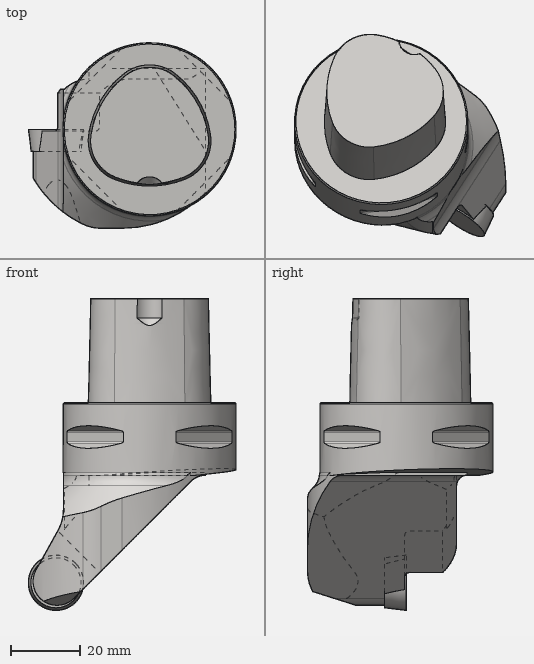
import cadquery as cq
import math


SHANK_LENGTH = 30.0
LOBE_REACH = 18.6
FLANK_REACH = 16.4
LOBE_RADIUS = 12.0
SHANK_TAPER = 0.7
LOBE_ANGLES = (90.0, 210.0, 330.0)

NOTCH_RADIUS = 4.4
NOTCH_Y = -18.1
NOTCH_DEPTH = 5.6

FLANGE_RADIUS = 25.0
FLANGE_CHAMFER = 0.4
FLANGE_RIM_Z = -20.2
FLANGE_BOTTOM_Z = -21.0
UNDERSIDE_TILT = 4.4
UNDERSIDE_DIRECTION = 32.0

GROOVE_Z = -9.95
GROOVE_FLOOR_DISTANCE = 22.2
GROOVE_FLOOR_HALF_HEIGHT = 1.65
GROOVE_FLARE = 30.0
GROOVE_FILLET = 0.7
GROOVE_ANGLES = (45.0, 135.0, 225.0, 315.0)

NECK_START_RADIUS = 25.2
NECK_FILLET_END_Z = -24.0
NECK_FILLET_RADIUS = 5.0
FLARE_ANGLE = 42.0

INSERT_X = -27.0
INSERT_Z = -52.0
INSERT_RADIUS = 8.0
INSERT_THICKNESS = 6.35
INSERT_CLEARANCE = 7.0

NOSE_X = -26.7
NOSE_Z = -51.6
NOSE_RADIUS = 6.9
ARM_BACK_X = -24.9
ARM_BACK_ANGLE = 61.0
ARM_BACK_FILLET = 12.0
FRONT_SLOPE = 45.0
FRONT_ROOT_FILLET = 6.0

ARM_FRONT_Y = -28.57
ARM_REAR_Y = 14.5
FRONT_FLAT_START_X = -14.0
FRONT_FLAT_END_X = -7.9
FRONT_LARGE_RADIUS = 33.0
FRONT_SMALL_RADIUS = 12.0
FRONT_BLEND_ANGLE = 25.5
REAR_RADIUS = 10.0
REAR_TURN = 45.0
REAR_ARC_X = -17.5
ROOT_FILLET = 3.0

REAR_ROUND_RADIUS = 20.0
REAR_ROUND_TURN = 45.0
REAR_ROUND_SUM = -46.4
POCKET_SUM = -63.5
POCKET_FLOOR_Y = -0.5
POCKET_FILLET = 1.5

RELIEF_Y = -14.6
RELIEF_Z = -58.5
RELIEF_ANGLE = 17.6

REACH = 120.0


def polar(distance, degrees):
    angle = math.radians(degrees)
    return (distance * math.cos(angle), distance * math.sin(angle))


def shank_outline(inset, z):
    """Closed three-lobed outline of tangent lobe and flank arcs."""
    lobe_offset = LOBE_REACH - LOBE_RADIUS
    gap = FLANK_REACH - LOBE_RADIUS
    flank_offset = (lobe_offset**2 - gap**2) / (2 * gap - lobe_offset)
    flank_radius = FLANK_REACH + flank_offset

    def joint(lobe_angle, side):
        lobe = polar(lobe_offset, lobe_angle)
        flank = polar(flank_offset, lobe_angle - side * 120)
        direction = math.degrees(math.atan2(lobe[1] - flank[1], lobe[0] - flank[0]))
        end = polar(flank_radius - inset, direction)
        return (flank[0] + end[0], flank[1] + end[1])

    outline = cq.Workplane("XY", origin=(0, 0, z)).moveTo(*joint(LOBE_ANGLES[0], -1))
    for angle in LOBE_ANGLES:
        outline = outline.threePointArc(polar(LOBE_REACH - inset, angle), joint(angle, 1))
        outline = outline.threePointArc(
            polar(FLANK_REACH - inset, angle + 60), joint(angle + 120, -1)
        )
    return outline.close().wires().val()


def make_shank():
    lower = shank_outline(0, 0)
    upper = shank_outline(SHANK_TAPER, SHANK_LENGTH)
    shank = cq.Workplane(cq.Solid.makeLoft([lower, upper], True))
    notch_z = SHANK_LENGTH - NOTCH_DEPTH
    notch = (
        cq.Workplane("XZ", origin=(0, NOTCH_Y, 0))
        .moveTo(0, SHANK_LENGTH)
        .lineTo(NOTCH_RADIUS, SHANK_LENGTH)
        .lineTo(NOTCH_RADIUS, notch_z)
        .lineTo(0, notch_z - NOTCH_RADIUS)
        .close()
        .revolve(360, (0, 0, 0), (0, 1, 0))
    )
    return shank.cut(notch)


def gripper_groove(angle):
    depth = FLANGE_RADIUS - GROOVE_FLOOR_DISTANCE
    mouth_half_height = GROOVE_FLOOR_HALF_HEIGHT + depth * math.tan(math.radians(GROOVE_FLARE))
    groove = (
        cq.Workplane("XZ")
        .moveTo(GROOVE_FLOOR_DISTANCE, GROOVE_Z - GROOVE_FLOOR_HALF_HEIGHT)
        .lineTo(FLANGE_RADIUS, GROOVE_Z - mouth_half_height)
        .lineTo(FLANGE_RADIUS, GROOVE_Z + mouth_half_height)
        .lineTo(GROOVE_FLOOR_DISTANCE, GROOVE_Z + GROOVE_FLOOR_HALF_HEIGHT)
        .close()
        .extrude(FLANGE_RADIUS, both=True)
        .faces("<X")
        .edges("|Y")
        .fillet(GROOVE_FILLET)
    )
    return groove.rotate((0, 0, 0), (0, 0, 1), angle)


def make_flange():
    flange = (
        cq.Workplane("XY")
        .circle(FLANGE_RADIUS)
        .extrude(FLANGE_BOTTOM_Z)
        .faces(">Z")
        .chamfer(FLANGE_CHAMFER)
    )
    for angle in GROOVE_ANGLES:
        flange = flange.cut(gripper_groove(angle))
    underside = (
        cq.Workplane("XY")
        .rect(REACH, REACH)
        .extrude(-REACH)
        .rotate((0, 0, 0), (0, 1, 0), -UNDERSIDE_TILT)
        .rotate((0, 0, 0), (0, 0, 1), UNDERSIDE_DIRECTION)
        .translate((0, 0, FLANGE_BOTTOM_Z))
    )
    back_flat = (
        cq.Workplane("XY", origin=(0, 0, FLANGE_RIM_Z))
        .center(ARM_BACK_X - REACH / 2, 0)
        .rect(REACH, REACH)
        .extrude(FLANGE_BOTTOM_Z - FLANGE_RIM_Z)
    )
    return flange.cut(underside).cut(back_flat)


def neck_flare():
    """Revolved flare that runs from the flange rim out to the arm."""
    flare = math.radians(FLARE_ANGLE)
    height = FLANGE_BOTTOM_Z - NECK_FILLET_END_Z
    start_angle = math.asin(math.sin(flare) - height / NECK_FILLET_RADIUS)
    centre_radius = NECK_START_RADIUS + NECK_FILLET_RADIUS * math.cos(start_angle)
    centre_z = FLANGE_BOTTOM_Z + NECK_FILLET_RADIUS * math.sin(start_angle)

    def on_fillet(angle):
        return (
            centre_radius - NECK_FILLET_RADIUS * math.cos(angle),
            centre_z - NECK_FILLET_RADIUS * math.sin(angle),
        )

    fillet_end = on_fillet(flare)
    flare_length = REACH / 2
    outer_radius = fillet_end[0] + flare_length * math.tan(flare)
    return (
        cq.Workplane("XZ")
        .moveTo(0, FLANGE_RIM_Z)
        .lineTo(FLANGE_RADIUS, FLANGE_RIM_Z)
        .lineTo(NECK_START_RADIUS, FLANGE_BOTTOM_Z)
        .threePointArc(on_fillet((start_angle + flare) / 2), fillet_end)
        .lineTo(outer_radius, fillet_end[1] - flare_length)
        .lineTo(0, fillet_end[1] - flare_length)
        .close()
        .revolve(360, (0, 0, 0), (0, 1, 0))
    )


def arm_plan():
    """Upright prism with the arm's plan outline."""
    turn = FRONT_BLEND_ANGLE
    small_centre_y = ARM_FRONT_Y + FRONT_SMALL_RADIUS
    large_centre_y = ARM_FRONT_Y + FRONT_LARGE_RADIUS

    def on_arc(centre, radius, angle):
        offset = polar(radius, angle)
        return (centre[0] + offset[0], centre[1] + offset[1])

    small = (FRONT_FLAT_START_X, small_centre_y)
    blend_end = on_arc(small, FRONT_SMALL_RADIUS, 270 - turn)
    large = on_arc(blend_end, FRONT_LARGE_RADIUS, 90 - turn)
    left_x = INSERT_X - INSERT_RADIUS
    left_angle = 180 + math.degrees(math.acos((large[0] - left_x) / FRONT_LARGE_RADIUS))
    left_end = on_arc(large, FRONT_LARGE_RADIUS, left_angle)
    right = (FRONT_FLAT_END_X, large_centre_y)
    rear = (REAR_ARC_X, ARM_REAR_Y - REAR_RADIUS)
    rear_end_angle = 90 + REAR_TURN
    return (
        cq.Workplane("XY")
        .moveTo(*left_end)
        .threePointArc(
            on_arc(large, FRONT_LARGE_RADIUS, (left_angle + 270 - turn) / 2), blend_end
        )
        .threePointArc(
            on_arc(small, FRONT_SMALL_RADIUS, 270 - turn / 2), (FRONT_FLAT_START_X, ARM_FRONT_Y)
        )
        .lineTo(FRONT_FLAT_END_X, ARM_FRONT_Y)
        .threePointArc(
            on_arc(right, FRONT_LARGE_RADIUS, 315), on_arc(right, FRONT_LARGE_RADIUS, 360)
        )
        .lineTo(right[0] + FRONT_LARGE_RADIUS, ARM_REAR_Y)
        .lineTo(REAR_ARC_X, ARM_REAR_Y)
        .threePointArc(
            on_arc(rear, REAR_RADIUS, (90 + rear_end_angle) / 2),
            on_arc(rear, REAR_RADIUS, rear_end_angle),
        )
        .lineTo(left_x, on_arc(rear, REAR_RADIUS, rear_end_angle)[1])
        .close()
        .extrude(-REACH)
    )


def arm_side():
    """Prism along Y with the arm's side outline.

    Counterclockwise: upright back, slanted back, round nose and a 45 degree front.
    """
    back = math.radians(ARM_BACK_ANGLE)
    back_touch = (
        NOSE_X - NOSE_RADIUS * math.sin(back),
        NOSE_Z + NOSE_RADIUS * math.cos(back),
    )
    corner_z = back_touch[1] + (ARM_BACK_X - back_touch[0]) * math.tan(back)
    bend = math.pi / 2 - back
    tangent = ARM_BACK_FILLET * math.tan(bend / 2)
    fillet_low = (ARM_BACK_X - tangent * math.cos(back), corner_z - tangent * math.sin(back))
    fillet_middle = (
        ARM_BACK_X - ARM_BACK_FILLET * (1 - math.cos(bend / 2)),
        corner_z + tangent - ARM_BACK_FILLET * math.sin(bend / 2),
    )
    diagonal = NOSE_RADIUS / math.sqrt(2)
    front_touch = (NOSE_X + diagonal, NOSE_Z - diagonal)
    front_corner_x = front_touch[0] + FLANGE_BOTTOM_Z - front_touch[1]
    root_tangent = FRONT_ROOT_FILLET * math.tan(math.radians(FRONT_SLOPE / 2))
    root_diagonal = root_tangent / math.sqrt(2)
    return (
        cq.Workplane("XZ")
        .moveTo(ARM_BACK_X, 0)
        .lineTo(ARM_BACK_X, corner_z + tangent)
        .threePointArc(fillet_middle, fillet_low)
        .lineTo(*back_touch)
        .threePointArc((NOSE_X - diagonal, NOSE_Z - diagonal), front_touch)
        .lineTo(front_corner_x - root_diagonal, FLANGE_BOTTOM_Z - root_diagonal)
        .radiusArc((front_corner_x + root_tangent, FLANGE_BOTTOM_Z), FRONT_ROOT_FILLET)
        .lineTo(front_corner_x + root_tangent, 0)
        .close()
        .extrude(REACH, both=True)
    )


def slanted_plane():
    """Workplane whose local X runs along +X+Z and whose local Y runs along Y."""
    return cq.Workplane(cq.Plane(origin=(0, 0, 0), xDir=(1, 0, 1), normal=(-1, 0, 1)))


def rear_round():
    """Prism along the 45 degree direction that keeps the arm inside its rounded rear."""
    start = REAR_ROUND_SUM / math.sqrt(2)
    centre_y = ARM_REAR_Y - REAR_ROUND_RADIUS

    def on_round(turn):
        offset = polar(REAR_ROUND_RADIUS, 90 + turn)
        return (start + offset[0], centre_y + offset[1])

    round_end = on_round(REAR_ROUND_TURN)
    return (
        slanted_plane()
        .moveTo(REACH, -REACH)
        .lineTo(REACH, ARM_REAR_Y)
        .lineTo(start, ARM_REAR_Y)
        .threePointArc(on_round(REAR_ROUND_TURN / 2), round_end)
        .lineTo(-REACH, round_end[1])
        .lineTo(-REACH, -REACH)
        .close()
        .extrude(REACH, both=True)
    )


def chip_pocket():
    wall = POCKET_SUM / math.sqrt(2)
    return (
        slanted_plane()
        .moveTo(-REACH, POCKET_FLOOR_Y)
        .lineTo(wall - POCKET_FILLET, POCKET_FLOOR_Y)
        .radiusArc((wall, POCKET_FLOOR_Y + POCKET_FILLET), -POCKET_FILLET)
        .lineTo(wall, REACH)
        .lineTo(-REACH, REACH)
        .close()
        .extrude(REACH, both=True)
    )


def nose_relief():
    return (
        cq.Workplane("XY")
        .rect(2 * REACH, 2 * REACH)
        .extrude(-REACH)
        .rotate((0, 0, 0), (1, 0, 0), -RELIEF_ANGLE)
        .translate((0, RELIEF_Y, RELIEF_Z))
    )


def make_insert():
    back_radius = INSERT_RADIUS - INSERT_THICKNESS * math.tan(math.radians(INSERT_CLEARANCE))
    return cq.Workplane(
        cq.Solid.makeCone(
            INSERT_RADIUS,
            back_radius,
            INSERT_THICKNESS,
            pnt=cq.Vector(INSERT_X, 0, INSERT_Z),
            dir=cq.Vector(0, -1, 0),
        )
    )


def root_fillet():
    """Concave strip between the flat rear wall and the flange underside."""
    top = FLANGE_RIM_Z
    bottom = FLANGE_BOTTOM_Z - ROOT_FILLET
    centre_y = ARM_REAR_Y + ROOT_FILLET
    diagonal = ROOT_FILLET / math.sqrt(2)
    strip = (
        cq.Workplane("YZ", origin=(REAR_ARC_X, 0, 0))
        .moveTo(0, top)
        .lineTo(centre_y, top)
        .lineTo(centre_y, FLANGE_BOTTOM_Z)
        .threePointArc((centre_y - diagonal, bottom + diagonal), (ARM_REAR_Y, bottom))
        .lineTo(0, bottom)
        .close()
        .extrude(REACH)
    )
    below_flange = cq.Workplane("XY").circle(FLANGE_RADIUS).extrude(-REACH)
    return strip.intersect(arm_side()).intersect(below_flange)


def make_arm():
    arm = neck_flare().intersect(arm_plan()).intersect(arm_side())
    return arm.intersect(rear_round()).cut(chip_pocket()).cut(nose_relief())


insert = make_insert()
holder = make_flange().union(make_shank()).union(make_arm()).union(root_fillet()).cut(insert)

result = cq.Compound.makeCompound([holder.solids().val(), insert.val()])